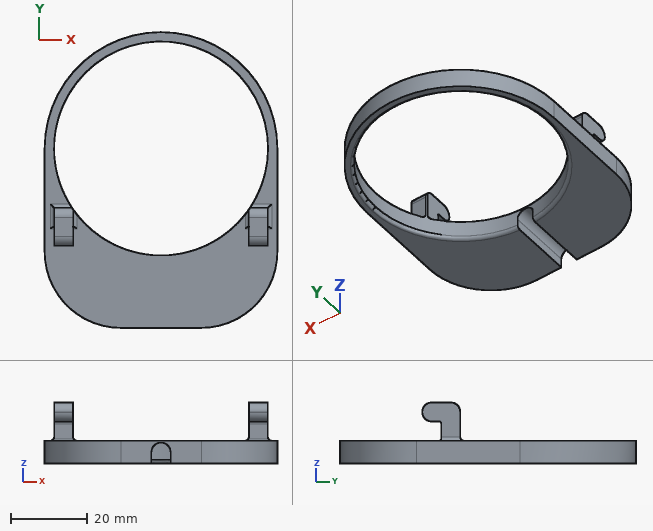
import cadquery as cq

plate_thickness = 6.0
bore_radius = 28.0
rim_width = 2.5
outer_radius = bore_radius + rim_width
plate_front_y = -47.0
corner_radius = 20.0
bore_bottom_rounding = 1.0

slot_width = 5.0
slot_height = 5.5

hook_center_x = 25.5
hook_width = 5.0
hook_back_y = -15.5
post_depth = 5.0
hook_reach = 10.0
post_height = 5.0
arm_height = 5.03
hook_rounding = 2.5
inner_corner_rounding = 0.5
base_rounding = 1.0
front_base_rounding = 0.5

plate_top = plate_thickness
arm_bottom = plate_top + post_height
hook_top = arm_bottom + arm_height
post_front_y = hook_back_y - post_depth
hook_tip_y = hook_back_y - hook_reach


def make_plate():
    """Plate outline: half circle at the back, rounded corners at the front."""
    return (
        cq.Workplane("XY")
        .moveTo(-outer_radius, 0)
        .threePointArc((0, outer_radius), (outer_radius, 0))
        .lineTo(outer_radius, plate_front_y)
        .lineTo(-outer_radius, plate_front_y)
        .close()
        .extrude(plate_thickness)
        .edges("|Z and <Y")
        .fillet(corner_radius)
    )


def make_hook(center_x):
    """L-shaped hook profile in the YZ plane, given its width along X and rounded."""
    hook = (
        cq.Workplane("YZ", origin=(center_x, 0, 0))
        .moveTo(hook_back_y, plate_top)
        .lineTo(hook_back_y, hook_top)
        .lineTo(hook_tip_y, hook_top)
        .lineTo(hook_tip_y, arm_bottom)
        .lineTo(post_front_y, arm_bottom)
        .lineTo(post_front_y, plate_top)
        .close()
        .extrude(hook_width / 2, both=True)
    )
    hook = hook.edges("|X and >Z").fillet(hook_rounding)
    tip_bottom = cq.selectors.NearestToPointSelector((center_x, hook_tip_y, arm_bottom))
    hook = hook.edges(tip_bottom).fillet(hook_rounding)
    inner_corner = cq.selectors.NearestToPointSelector((center_x, post_front_y, arm_bottom))
    return hook.edges(inner_corner).fillet(inner_corner_rounding)


def flared_foot_profile(plane, center_x, start, end, start_radius, end_radius):
    """Foot section from start to end that flares with a concave arc on each side."""
    foot_top = arm_bottom
    return (
        cq.Workplane(plane, origin=(center_x, 0, 0))
        .moveTo(start - start_radius, plate_top)
        .radiusArc((start, plate_top + start_radius), -start_radius)
        .lineTo(start, foot_top)
        .lineTo(end, foot_top)
        .lineTo(end, plate_top + end_radius)
        .radiusArc((end + end_radius, plate_top), -end_radius)
        .close()
    )


def make_hook_foot(center_x):
    """Blend around the foot of a post: two crossed flared bars leave mitred corners."""
    half_width = hook_width / 2
    along_y = flared_foot_profile("XZ", center_x, -half_width, half_width, base_rounding, base_rounding)
    along_x = flared_foot_profile(
        "YZ", center_x, post_front_y, hook_back_y, front_base_rounding, base_rounding
    )
    bar_along_y = along_y.extrude(-plate_front_y)
    bar_along_x = along_x.extrude(hook_width, both=True)
    return bar_along_y.intersect(bar_along_x)


def make_bore():
    """Bore cutter: tall enough to trim the hooks, flared at the bottom to round the rim."""
    cutter = cq.Workplane("XY").circle(bore_radius).extrude(hook_top)
    flare = (
        cq.Workplane("XZ")
        .lineTo(bore_radius + bore_bottom_rounding, 0)
        .radiusArc((bore_radius, bore_bottom_rounding), bore_bottom_rounding)
        .lineTo(0, bore_bottom_rounding)
        .close()
        .revolve(360, (0, 0, 0), (0, 1, 0))
    )
    return cutter.union(flare)


def make_slot():
    """Straight channel along Y with a half-round roof."""
    half_width = slot_width / 2
    spring_height = slot_height - half_width
    return (
        cq.Workplane("XZ")
        .moveTo(-half_width, 0)
        .lineTo(-half_width, spring_height)
        .threePointArc((0, slot_height), (half_width, spring_height))
        .lineTo(half_width, 0)
        .close()
        .extrude(-plate_front_y)
    )


body = make_plate()
for center_x in (-hook_center_x, hook_center_x):
    body = body.union(make_hook(center_x)).union(make_hook_foot(center_x))
result = body.cut(make_bore()).cut(make_slot())